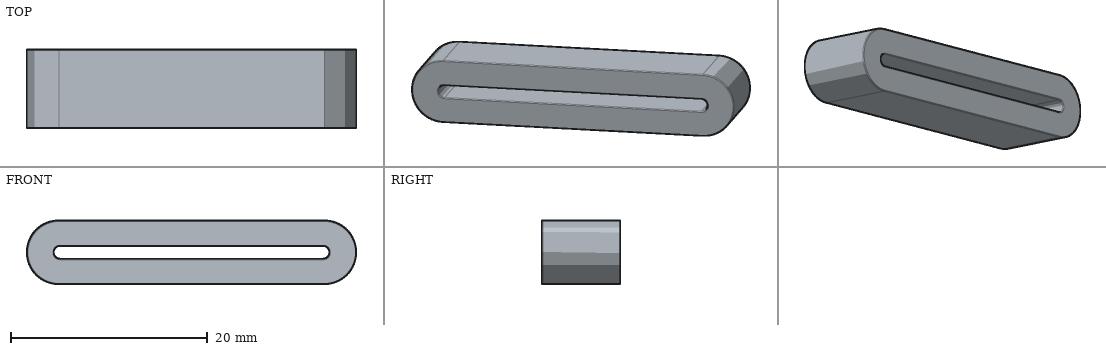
import cadquery as cq

length = 33.5
depth = 8.0
height = 6.5

slot_length = 28.0
slot_height = 1.27

edge_radius = 0.1


def rounded_bar(bar_length, bar_height):
    """Full-round bar centred on the origin, running along Y through the depth."""
    return cq.Workplane("XZ").slot2D(bar_length, bar_height).extrude(depth / 2, both=True)


body = rounded_bar(length, height)
slot = rounded_bar(slot_length, slot_height)

result = body.cut(slot).faces("<Y or >Y").edges().fillet(edge_radius)